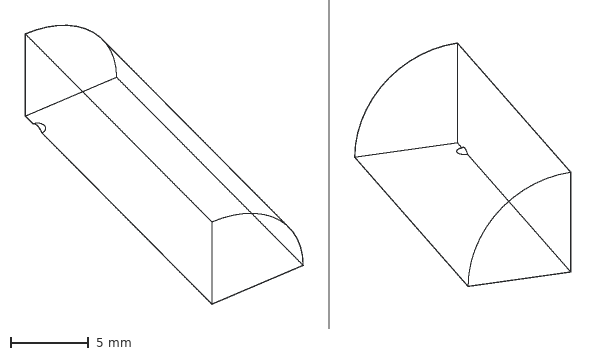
import cadquery as cq

length = 22.0
radius = 7.0

dimple_center_x = 1.43
dimple_width = 1.05
dimple_height = 0.22


def quarter_round():
    """Quarter-circle bar along X, with its flat sides on the front and bottom."""
    quadrant = cq.Workplane("XY").cylinder(length, radius).rotate((0, 0, 0), (0, 1, 0), 90)
    corner = cq.Workplane("XY").box(length, radius, radius, centered=(True, False, False))
    return quadrant.intersect(corner).translate((length / 2, 0, 0))


def edge_dimple():
    """Sphere below the bottom face whose cap reaches up into the lower front edge."""
    sphere_radius = (dimple_width**2 / 4 + dimple_height**2) / (2 * dimple_height)
    center_z = dimple_height - sphere_radius
    return cq.Workplane("XY").sphere(sphere_radius).translate((dimple_center_x, 0, center_z))


result = quarter_round().cut(edge_dimple())